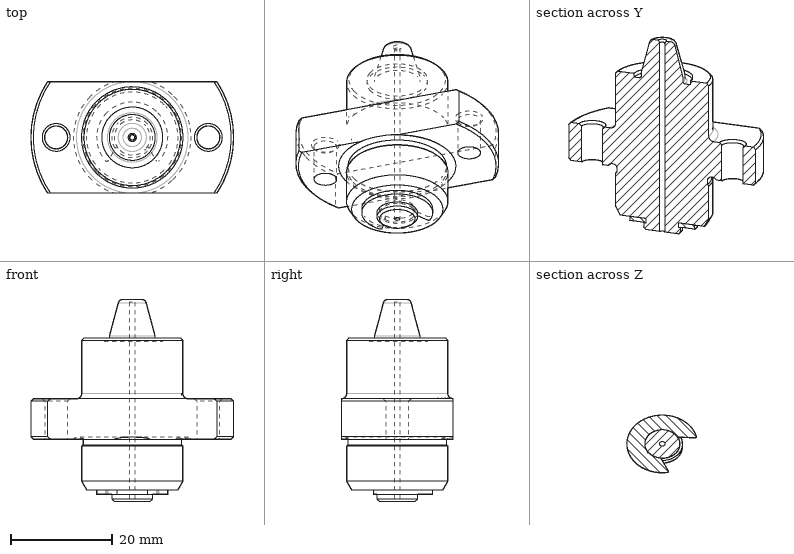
import cadquery as cq
import math


flange_radius = 20.0
flange_width = 22.0
flange_thickness = 8.0
edge_chamfer = 0.5
mount_hole_radius = 2.25
mount_hole_offset = 15.0

body_radius = 10.0
body_height = 12.0
body_depth = 18.0
body_fillet = 1.0
end_taper_width = 1.0
end_taper_height = end_taper_width / math.tan(math.radians(30))

relief_radius = 9.7
relief_length = 1.1
relief_outer_radius = 11.55
relief_depth = 0.5

recess_radius = 6.0
recess_depth = 0.75
nozzle_radius = 4.5
nozzle_root_fillet = 0.35
nozzle_top = 19.6
nozzle_taper_bottom = 12.35
nozzle_half_angle = math.radians(15)
nozzle_tip_fillet = 1.0
bore_radius = 0.5
bore_chamfer_width = 0.3
bore_chamfer_height = 0.5

tail_radius = 4.0
tail_bottom = -20.3
groove_radius = 3.5

clip_radius = 7.0
clip_thickness = 0.85
clip_front = 4.7
clip_throat = 3.05
clip_throat_depth = 1.7
clip_mouth = 4.85
clip_tip_fillet = 0.3


def revolved(outline):
    """Turn a closed (radius, height) outline around the Z axis."""
    return outline.close().revolve(360, (0, 0, 0), (0, 1, 0))


def make_flange():
    disc = cq.Workplane("XY").circle(flange_radius).extrude(-flange_thickness).edges().chamfer(edge_chamfer)
    flats = cq.Workplane("XY").box(2 * flange_radius, flange_width, 2 * flange_thickness)
    return disc.intersect(flats)


def make_upper_body():
    outline = (
        cq.Workplane("XZ")
        .moveTo(0, 0)
        .lineTo(body_radius + body_fillet, 0)
        .radiusArc((body_radius, body_fillet), body_fillet)
        .lineTo(body_radius, body_height - edge_chamfer)
        .lineTo(body_radius - edge_chamfer, body_height)
        .lineTo(recess_radius, body_height)
        .lineTo(recess_radius, body_height - recess_depth)
        .lineTo(0, body_height - recess_depth)
    )
    return revolved(outline)


def make_lower_body():
    shoulder = -flange_thickness - relief_length
    outline = (
        cq.Workplane("XZ")
        .moveTo(0, -flange_thickness)
        .lineTo(relief_radius, -flange_thickness)
        .lineTo(relief_radius, shoulder)
        .lineTo(body_radius, shoulder - (body_radius - relief_radius))
        .lineTo(body_radius, -body_depth + end_taper_height)
        .lineTo(body_radius - end_taper_width, -body_depth)
        .lineTo(0, -body_depth)
    )
    return revolved(outline)


def make_relief_cut():
    """Arched ring sunk into the underside of the flange around the lower body."""
    outline = (
        cq.Workplane("XZ")
        .moveTo(relief_radius, -flange_thickness)
        .threePointArc(
            ((relief_radius + relief_outer_radius) / 2, -flange_thickness + relief_depth),
            (relief_outer_radius, -flange_thickness),
        )
    )
    return revolved(outline)


def make_nozzle():
    floor = body_height - recess_depth
    taper_height = nozzle_top - nozzle_taper_bottom
    tip_radius = nozzle_radius - taper_height * math.tan(nozzle_half_angle)
    fillet_centre_radius = tip_radius - nozzle_tip_fillet * math.tan((math.pi / 2 - nozzle_half_angle) / 2)
    fillet_end = (
        fillet_centre_radius + nozzle_tip_fillet * math.cos(nozzle_half_angle),
        nozzle_top - nozzle_tip_fillet * (1 - math.sin(nozzle_half_angle)),
    )
    outline = (
        cq.Workplane("XZ")
        .moveTo(0, floor)
        .lineTo(nozzle_radius + nozzle_root_fillet, floor)
        .radiusArc((nozzle_radius, floor + nozzle_root_fillet), nozzle_root_fillet)
        .lineTo(nozzle_radius, nozzle_taper_bottom)
        .lineTo(*fillet_end)
        .radiusArc((fillet_centre_radius, nozzle_top), -nozzle_tip_fillet)
        .lineTo(0, nozzle_top)
    )
    return revolved(outline)


def make_tail():
    groove_bottom = -body_depth - clip_thickness
    outline = (
        cq.Workplane("XZ")
        .moveTo(0, -body_depth)
        .lineTo(groove_radius, -body_depth)
        .lineTo(groove_radius, groove_bottom)
        .lineTo(tail_radius, groove_bottom)
        .lineTo(tail_radius, tail_bottom + edge_chamfer)
        .lineTo(tail_radius - edge_chamfer, tail_bottom)
        .lineTo(0, tail_bottom)
    )
    return revolved(outline)


def make_chamfered_hole(radius, chamfer_width, chamfer_height, top, bottom):
    """Cutter for a straight hole with a chamfer at its top end."""
    outline = (
        cq.Workplane("XZ")
        .moveTo(0, top)
        .lineTo(radius + chamfer_width, top)
        .lineTo(radius, top - chamfer_height)
        .lineTo(radius, bottom)
        .lineTo(0, bottom)
    )
    return revolved(outline)


def make_housing():
    housing = make_flange().cut(make_relief_cut())
    for section in (make_upper_body(), make_lower_body(), make_nozzle(), make_tail()):
        housing = housing.union(section)
    mount_hole = make_chamfered_hole(mount_hole_radius, edge_chamfer, edge_chamfer, 0, -flange_thickness)
    for side in (-1, 1):
        housing = housing.cut(mount_hole.translate((side * mount_hole_offset, 0, 0)))
    bore = make_chamfered_hole(bore_radius, bore_chamfer_width, bore_chamfer_height, nozzle_top, tail_bottom)
    return housing.cut(bore)


def make_clip():
    """Open ring seated in the tail groove, flush against the end of the body."""
    mouth = (
        cq.Workplane("XY")
        .moveTo(-clip_throat, 0)
        .lineTo(-clip_throat, -clip_throat_depth)
        .lineTo(-clip_mouth, -clip_front)
        .lineTo(clip_mouth, -clip_front)
        .lineTo(clip_throat, -clip_throat_depth)
        .lineTo(clip_throat, 0)
        .close()
        .extrude(clip_thickness)
    )
    front_trim = (
        cq.Workplane("XY")
        .box(2 * clip_radius, clip_radius, clip_thickness, centered=(True, False, False))
        .translate((0, -clip_front - clip_radius, 0))
    )
    ring = cq.Workplane("XY").circle(clip_radius).circle(groove_radius).extrude(clip_thickness)
    clip = ring.cut(mouth).cut(front_trim)
    tip_corners = cq.selectors.BoxSelector(
        (-clip_radius, -clip_front - clip_tip_fillet, -clip_thickness),
        (clip_radius, -clip_front + clip_tip_fillet, 2 * clip_thickness),
    )
    clip = clip.edges("|Z").edges(tip_corners).fillet(clip_tip_fillet)
    return clip.translate((0, 0, -body_depth - clip_thickness))


housing = make_housing()
clip = make_clip()
result = cq.Compound.makeCompound([housing.solids().val(), clip.solids().val()])